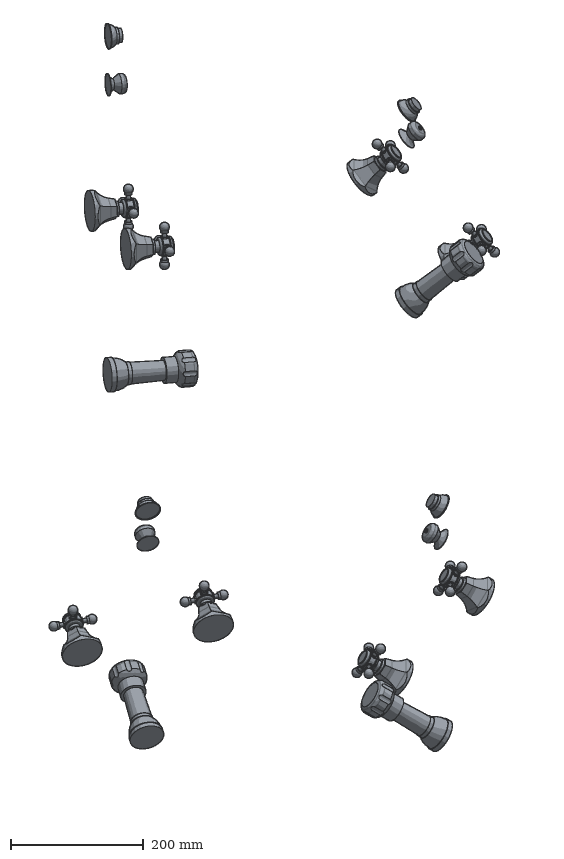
import cadquery as cq
import math


handle_spacing = 203.2
cap_height = 304.8
knob_height = 228.6
spout_drop = 228.6
spout_offset = -1.5

cap_radius = 19.6
cap_lip = 1.2
cap_flare_middle = (17.3, 5.6)
cap_flare_radius = 12.9
cap_flare_top = 11.0
cap_ring_top = 15.0
cap_neck_radius = 11.0
cap_length = 20.5

knob_base_radius = 17.0
knob_lip = 0.8
knob_flare_middle = (11.2, 4.2)
knob_waist_radius = 8.4
knob_waist_height = 8.2
knob_head_radius = 15.4
knob_belt_bottom = 17.7
knob_belt_top = 23.0
knob_crown_middle = (13.8, 25.9)
knob_crown_radius = 10.0
knob_crown_height = 27.6
knob_button_radius = 3.3
knob_length = 29.3

flange_radius = 31.0
chamfer_bottom = 4.4
flare_bottom = (25.8, 9.6)
flare_middle = (19.4, 18.3)
flare_top = (15.7, 28.5)
hex_top_apothem = 13.5
hex_top = 39.4
hex_sides = 6

collar_radius = 11.9
collar_top = 43.3
stem_radius = 9.0
hub_radius = 14.0
hub_bottom = 50.6
hub_top = 71.4
hub_rounding = 2.5
hub_button_radius = 10.8
rim_groove_depth = 0.6
rim_groove_width = 1.6
rim_groove_bottoms = (54.2, 65.6)
handle_length = 72.9

arm_count = 4
arm_height = 60.3
arm_reach = 37.02
ball_radius = 7.5
arm_boss_radius = 6.0
arm_boss_reach = 14.8
arm_radius = 3.9
arm_waist_radius = 3.4
arm_collar_radius = 5.8
arm_collar_inner = 21.3

spout_base_radius = 26.2
spout_base_thickness = 8.0
bell_radius = 25.0
bell_middle = (23.1, 19.5)
bell_top_radius = 18.4
bell_top = 28.2
tube_collar_radius = 17.4
tube_collar_top = 34.5
tube_bottom_radius = 16.7
tube_top_radius = 15.2
tube_top = 87.4
sleeve_radius = 19.8
sleeve_top = 105.6
head_radius = 27.84
head_underside_middle = (25.4, 109.8)
head_belt_bottom = 114.0
head_belt_top = 128.5
head_rounding_middle = (26.9, 131.8)
head_shoulder = (24.4, 134.2)
head_top_radius = 20.5
spout_length = 135.97
flute_count = 8
flute_radius = 6.5
flute_depth = 1.65


def turn(outline):
    """Revolve a closed XY outline, drawn on the +X side, about the Y axis."""
    return outline.close().revolve(360, (0, 0, 0), (0, 1, 0))


def make_cap():
    outline = (
        cq.Workplane("XY")
        .lineTo(cap_radius, 0)
        .lineTo(cap_radius, cap_lip)
        .lineTo(cap_radius - cap_lip, cap_lip)
        .threePointArc(cap_flare_middle, (cap_flare_radius, cap_flare_top))
        .lineTo(cap_flare_radius, cap_ring_top)
        .lineTo(cap_neck_radius, cap_ring_top)
        .lineTo(cap_neck_radius, cap_length)
        .lineTo(0, cap_length)
    )
    return turn(outline)


def make_knob():
    outline = (
        cq.Workplane("XY")
        .lineTo(knob_base_radius, 0)
        .lineTo(knob_base_radius, knob_lip)
        .threePointArc(knob_flare_middle, (knob_waist_radius, knob_waist_height))
        .lineTo(knob_head_radius, knob_belt_bottom)
        .lineTo(knob_head_radius, knob_belt_top)
        .threePointArc(knob_crown_middle, (knob_crown_radius, knob_crown_height))
        .lineTo(knob_button_radius, knob_crown_height)
        .lineTo(knob_button_radius, knob_length)
        .lineTo(0, knob_length)
    )
    return turn(outline)


def make_flared_base():
    """Hexagonal flare with corners toward +Z and -Z, trimmed to a round flange."""
    def mirrored(point):
        return (-point[0], point[1])

    chamfer_foot = (flare_bottom[0] + flare_bottom[1] - chamfer_bottom, chamfer_bottom)
    slab = (
        cq.Workplane("XY")
        .moveTo(-chamfer_foot[0], 0)
        .lineTo(chamfer_foot[0], 0)
        .lineTo(*chamfer_foot)
        .lineTo(*flare_bottom)
        .threePointArc(flare_middle, flare_top)
        .lineTo(hex_top_apothem, hex_top)
        .lineTo(-hex_top_apothem, hex_top)
        .lineTo(*mirrored(flare_top))
        .threePointArc(mirrored(flare_middle), mirrored(flare_bottom))
        .lineTo(*mirrored(chamfer_foot))
        .close()
        .extrude(2 * flange_radius, both=True)
    )
    base = cq.Workplane("XZ").circle(flange_radius).extrude(-hex_top)
    for pair in range(hex_sides // 2):
        turned_slab = slab.rotate((0, 0, 0), (0, 1, 0), pair * 360 / hex_sides)
        base = base.intersect(turned_slab)
    return base


def make_hub():
    outline = (
        cq.Workplane("XY")
        .moveTo(0, hex_top)
        .lineTo(collar_radius, hex_top)
        .lineTo(collar_radius, collar_top)
        .lineTo(stem_radius, collar_top)
        .lineTo(stem_radius, hub_bottom)
        .lineTo(hub_radius - hub_rounding, hub_bottom)
        .radiusArc((hub_radius, hub_bottom + hub_rounding), -hub_rounding)
        .lineTo(hub_radius, hub_top - hub_rounding)
        .radiusArc((hub_radius - hub_rounding, hub_top), -hub_rounding)
        .lineTo(hub_button_radius, hub_top)
        .lineTo(hub_button_radius, handle_length)
        .lineTo(0, handle_length)
    )
    hub = turn(outline)
    for groove_bottom in rim_groove_bottoms:
        groove = (
            cq.Workplane("XZ", origin=(0, groove_bottom, 0))
            .circle(hub_radius)
            .circle(hub_radius - rim_groove_depth)
            .extrude(-rim_groove_width)
        )
        hub = hub.cut(groove)
    return hub


def make_arm():
    """One arm along +Y from the hub axis: boss, waisted neck, collar and ball end."""
    ball_center = arm_reach - ball_radius
    neck_middle = (arm_boss_reach + arm_collar_inner) / 2
    ball_start = ball_center - math.sqrt(ball_radius**2 - arm_collar_radius**2)
    outline = (
        cq.Workplane("XY")
        .lineTo(arm_boss_radius, 0)
        .lineTo(arm_boss_radius, arm_boss_reach)
        .lineTo(arm_radius, arm_boss_reach)
        .threePointArc((arm_waist_radius, neck_middle), (arm_radius, arm_collar_inner))
        .lineTo(arm_collar_radius, arm_collar_inner)
        .lineTo(arm_collar_radius, ball_start)
        .threePointArc((ball_radius, ball_center), (0, arm_reach))
    )
    return turn(outline)


def make_handle():
    handle = make_flared_base().union(make_hub())
    arm = make_arm().rotate((0, 0, 0), (1, 0, 0), 90).translate((0, arm_height, 0))
    for index in range(arm_count):
        handle = handle.union(arm.rotate((0, 0, 0), (0, 1, 0), index * 360 / arm_count))
    return handle


def make_spout():
    outline = (
        cq.Workplane("XY")
        .lineTo(spout_base_radius, 0)
        .lineTo(spout_base_radius, spout_base_thickness)
        .lineTo(bell_radius, spout_base_thickness)
        .threePointArc(bell_middle, (bell_top_radius, bell_top))
        .lineTo(tube_collar_radius, bell_top)
        .lineTo(tube_collar_radius, tube_collar_top)
        .lineTo(tube_bottom_radius, tube_collar_top)
        .lineTo(tube_top_radius, tube_top)
        .lineTo(sleeve_radius, tube_top)
        .lineTo(sleeve_radius, sleeve_top)
        .threePointArc(head_underside_middle, (head_radius, head_belt_bottom))
        .lineTo(head_radius, head_belt_top)
        .threePointArc(head_rounding_middle, head_shoulder)
        .lineTo(head_top_radius, spout_length)
        .lineTo(0, spout_length)
    )
    spout = turn(outline)
    flute = (
        cq.Workplane("XZ", origin=(head_radius - flute_depth + flute_radius, sleeve_top, 0))
        .circle(flute_radius)
        .extrude(sleeve_top - spout_length)
    )
    for index in range(flute_count):
        spout = spout.cut(flute.rotate((0, 0, 0), (0, 1, 0), index * 360 / flute_count))
    return spout


cap = make_cap().translate((0, 0, cap_height))
knob = make_knob().translate((0, 0, knob_height))
spout = make_spout().translate((spout_offset, 0, -spout_drop))
handles = [make_handle().translate((side * handle_spacing / 2, 0, 0)) for side in (-1, 1)]

result = cq.Compound.makeCompound(
    [cap.val(), knob.val(), spout.val(), *[handle.val() for handle in handles]]
)